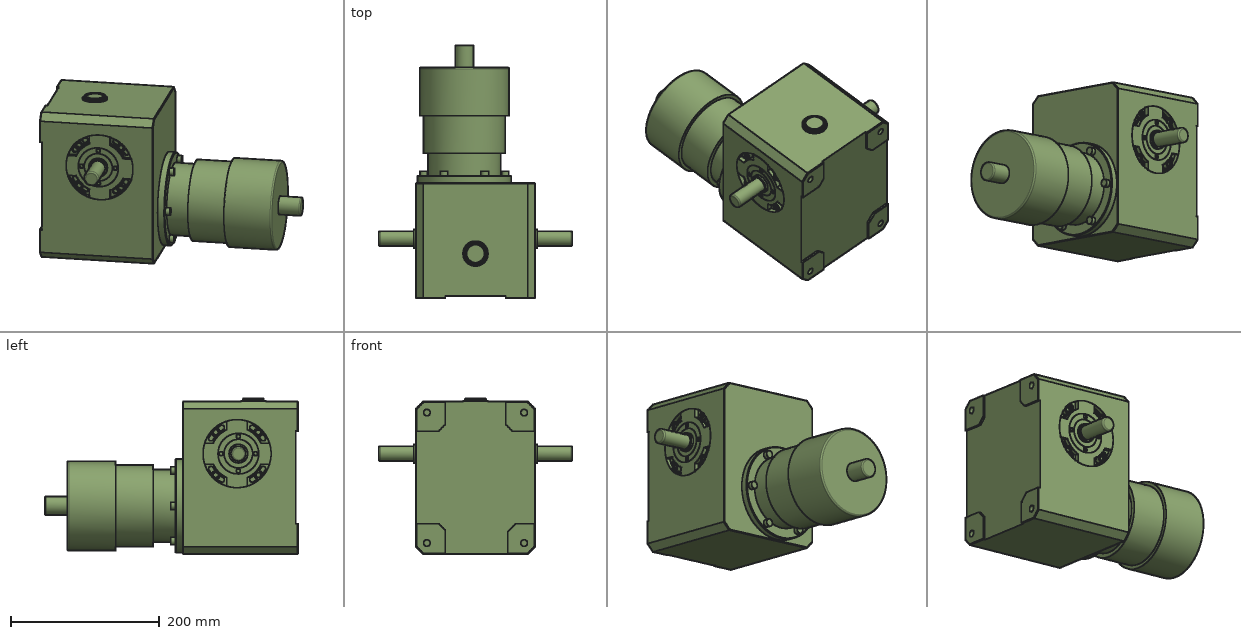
import cadquery as cq
import math


housing_width = 160.0
housing_front = -77.2
housing_back = 74.8
housing_top = 70.0
housing_bottom = -135.0
long_edge_chamfer = 10.0
face_edge_chamfer = 1.0

pad_thickness = 3.0
pad_width = 39.8
narrow_pad_width = 36.7
top_pad_height = 39.8
bottom_pad_height = 41.0
pad_corner_chamfer = 9.2
narrow_pad_corner_chamfer = 11.0
pad_hole_diameter = 9.0
pad_hole_depth = 13.5
pad_hole_x = 65.3
pad_hole_top_z = 55.0
pad_hole_bottom_z = -120.0

shaft_length = 260.0
shaft_diameter = 20.0
shaft_end_fillet = 2.0
collar_diameter = 25.0
collar_height = 3.0

flange_y = 1.7
flange_diameter = 91.5
flange_sink = 0.5
cover_outer_diameter = 54.7
cover_inner_diameter = 38.5
cover_hole_circle_radius = 23.0
cover_hole_diameter = 5.5
cover_hole_depth = 2.0
pocket_depth = 6.8
pocket_side_offset = 14.0
pocket_inner_radius = 35.0
slot_circle_radius = 40.5
slot_half_angle = 15
slot_width = 6.5
slot_depth = 3.5
screw_head_diameter = 11.2
screw_head_height = 4.0
screw_socket_diameter = 7.5
screw_socket_depth = 2.0

plug_y = -20.0
plug_washer_diameter = 33.5
plug_washer_height = 1.0
plug_washer_chamfer = 0.7
plug_diameter = 28.5
plug_height = 4.0
plug_chamfer = 1.0
plug_socket_diameter = 24.0
plug_socket_depth = 1.5

motor_x = -15.0
motor_z = -70.0
motor_flange_diameter = 126.0
motor_flange_back = 84.5
motor_flange_chamfer = 1.0
motor_neck_diameter = 98.0
motor_neck_back = 114.5
motor_middle_diameter = 110.0
motor_middle_back = 165.0
motor_body_diameter = 120.5
motor_body_back = 230.0
motor_body_fillet = 2.0
motor_shaft_diameter = 25.0
motor_shaft_back = 259.8
motor_shaft_fillet = 1.7
motor_screw_count = 6
motor_screw_circle_radius = 54.7
motor_screw_diameter = 10.2
motor_screw_height = 6.0

half_width = housing_width / 2
pad_face = housing_front - pad_thickness


def make_block():
    """Block reaching to the pad faces, with its four long edges and both end outlines chamfered."""
    return (
        cq.Workplane("XZ", origin=(0, pad_face, (housing_top + housing_bottom) / 2))
        .rect(housing_width, housing_top - housing_bottom)
        .extrude(pad_face - housing_back)
        .edges("|Y")
        .chamfer(long_edge_chamfer)
        .faces("<Y or >Y")
        .chamfer(face_edge_chamfer)
    )


def make_pad(side_x, side_z, width, height, corner_chamfer):
    """Pad reaching past one corner of the block; side_x and side_z are the signs of that corner."""
    outer_x = side_x * half_width
    outer_z = housing_top if side_z > 0 else housing_bottom
    inner_x = outer_x - side_x * width
    inner_z = outer_z - side_z * height
    outline = [
        (outer_x, outer_z),
        (inner_x, outer_z),
        (inner_x, inner_z + side_z * corner_chamfer),
        (inner_x + side_x * corner_chamfer, inner_z),
        (outer_x, inner_z),
    ]
    return (
        cq.Workplane("XZ", origin=(0, pad_face, 0))
        .polyline(outline)
        .close()
        .extrude(-pad_thickness)
    )


def make_front_relief():
    """Layer removed from the front of the block so that only the four corner pads stand proud."""
    relief = (
        cq.Workplane("XZ", origin=(0, pad_face, (housing_top + housing_bottom) / 2))
        .rect(housing_width, housing_top - housing_bottom)
        .extrude(-pad_thickness)
    )
    for side_x, side_z, width, height, corner_chamfer in (
        (-1, 1, pad_width, top_pad_height, pad_corner_chamfer),
        (1, 1, pad_width, top_pad_height, pad_corner_chamfer),
        (-1, -1, pad_width, bottom_pad_height, pad_corner_chamfer),
        (1, -1, narrow_pad_width, bottom_pad_height, narrow_pad_corner_chamfer),
    ):
        relief = relief.cut(make_pad(side_x, side_z, width, height, corner_chamfer))
    return relief


def make_pad_holes():
    places = [(side * pad_hole_x, z) for side in (-1, 1) for z in (pad_hole_top_z, pad_hole_bottom_z)]
    return (
        cq.Workplane("XZ", origin=(0, pad_face, 0))
        .pushPoints(places)
        .circle(pad_hole_diameter / 2)
        .extrude(-pad_hole_depth)
    )


def side_plane(y, depth):
    """Plane parallel to the right-hand housing side, sunk into it by depth, facing outwards."""
    return cq.Workplane("YZ", origin=(half_width - depth, y, 0))


def make_slot():
    """Curved slot centred on the first diagonal, cut into the pocket floor."""
    inner = slot_circle_radius - slot_width / 2
    outer = slot_circle_radius + slot_width / 2

    def point(radius, degrees):
        angle = math.radians(degrees)
        return (radius * math.cos(angle), radius * math.sin(angle))

    start = 45 - slot_half_angle
    end = 45 + slot_half_angle
    end_cap = math.degrees(slot_width / 2 / slot_circle_radius)
    return (
        side_plane(flange_y, pocket_depth + slot_depth)
        .moveTo(*point(inner, start))
        .threePointArc(point(inner, 45), point(inner, end))
        .threePointArc(point(slot_circle_radius, end + end_cap), point(outer, end))
        .threePointArc(point(outer, 45), point(outer, start))
        .threePointArc(point(slot_circle_radius, start - end_cap), point(inner, start))
        .close()
        .extrude(slot_depth)
    )


def make_pocket():
    """Corner pocket on the first diagonal, with its slot and the screw standing in it."""
    rim_radius = flange_diameter / 2
    ring = (
        side_plane(flange_y, pocket_depth)
        .circle(rim_radius)
        .circle(pocket_inner_radius)
        .extrude(pocket_depth)
    )
    corner = (
        side_plane(flange_y, pocket_depth)
        .center(pocket_side_offset, pocket_side_offset)
        .rect(rim_radius, rim_radius, centered=False)
        .extrude(pocket_depth)
    )

    screw_place = slot_circle_radius / math.sqrt(2)
    screw_bottom = pocket_depth + slot_depth
    screw = (
        side_plane(flange_y, screw_bottom)
        .center(screw_place, screw_place)
        .circle(screw_head_diameter / 2)
        .extrude(slot_depth + screw_head_height)
        .faces(">X")
        .workplane()
        .polygon(6, screw_socket_diameter)
        .cutBlind(-screw_socket_depth)
    )
    return ring.intersect(corner).union(make_slot()).cut(screw)


def make_side_cuts():
    """The solids removed from the right-hand side of the housing."""
    sink = side_plane(flange_y, flange_sink).circle(flange_diameter / 2).extrude(flange_sink)
    cover = (
        side_plane(0, flange_sink)
        .circle(cover_outer_diameter / 2)
        .circle(cover_inner_diameter / 2)
        .extrude(flange_sink)
    )
    cover_holes = (
        side_plane(0, cover_hole_depth)
        .polarArray(cover_hole_circle_radius, 0, 360, 4)
        .circle(cover_hole_diameter / 2)
        .extrude(cover_hole_depth)
    )
    pocket = make_pocket()
    pockets = [
        pocket.rotate((0, flange_y, 0), (1, flange_y, 0), quarter * 90)
        for quarter in range(4)
    ]
    return [sink.cut(cover), cover_holes] + pockets


def make_output_shaft():
    collar_length = housing_width + 2 * collar_height
    shaft = (
        cq.Workplane("YZ")
        .circle(shaft_diameter / 2)
        .extrude(shaft_length / 2, both=True)
        .faces("<X or >X")
        .edges()
        .fillet(shaft_end_fillet)
    )
    collar = cq.Workplane("YZ").circle(collar_diameter / 2).extrude(collar_length / 2, both=True)
    return shaft.union(collar)


def make_plug():
    top_face = cq.Workplane("XY", origin=(0, plug_y, housing_top))
    washer = (
        top_face.circle(plug_washer_diameter / 2)
        .extrude(plug_washer_height)
        .faces(">Z")
        .chamfer(plug_washer_chamfer)
    )
    plug = top_face.circle(plug_diameter / 2).extrude(plug_height).faces(">Z").chamfer(plug_chamfer)
    socket = (
        top_face.workplane(offset=plug_height - plug_socket_depth)
        .circle(plug_socket_diameter / 2)
        .extrude(plug_socket_depth)
    )
    return washer.union(plug).cut(socket)


def motor_cylinder(diameter, start, end):
    return cq.Workplane("XZ", origin=(motor_x, start, motor_z)).circle(diameter / 2).extrude(start - end)


def make_motor():
    flange = motor_cylinder(motor_flange_diameter, housing_back, motor_flange_back)
    neck = motor_cylinder(motor_neck_diameter, motor_flange_back, motor_neck_back)
    middle = motor_cylinder(motor_middle_diameter, motor_neck_back, motor_middle_back)
    body = motor_cylinder(motor_body_diameter, motor_middle_back, motor_body_back)
    shaft = motor_cylinder(motor_shaft_diameter, motor_body_back, motor_shaft_back)
    screws = (
        cq.Workplane("XZ", origin=(motor_x, motor_flange_back, motor_z))
        .polarArray(motor_screw_circle_radius, 0, 360, motor_screw_count)
        .circle(motor_screw_diameter / 2)
        .extrude(-motor_screw_height)
    )
    return (
        flange.faces(">Y").chamfer(motor_flange_chamfer)
        .union(neck)
        .union(middle)
        .union(body.faces(">Y").edges().fillet(motor_body_fillet))
        .union(shaft.faces(">Y").edges().fillet(motor_shaft_fillet))
        .union(screws)
    )


result = make_block().cut(make_front_relief()).cut(make_pad_holes())

for side_cut in make_side_cuts():
    result = result.cut(side_cut, clean=False)
    result = result.cut(side_cut.mirror("YZ"), clean=False)

result = result.union(make_output_shaft()).union(make_plug()).union(make_motor())